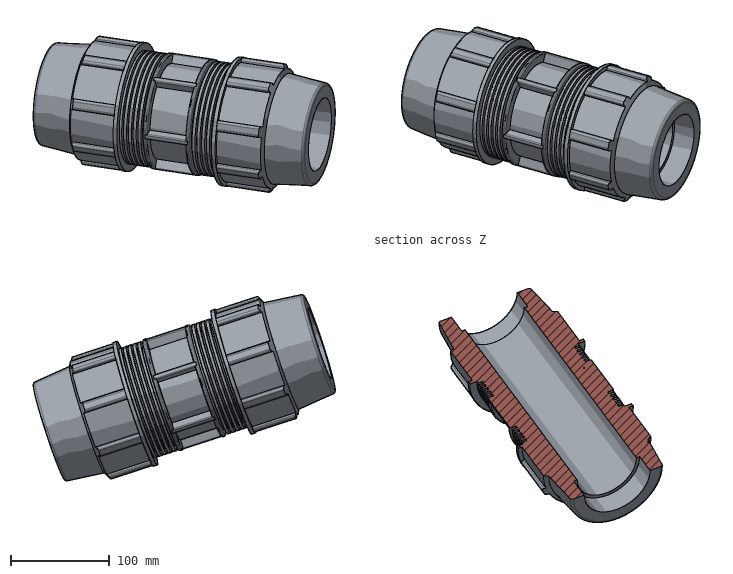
import cadquery as cq
length = 289.0
half_length = length / 2

bore_radius = 33.8
socket_radius = 37.5
socket_depth = 22.5

nose_fillet = 3.0
nose_end_radius = 52.5
nose_base_radius = 57.0
nose_depth = 40.7

grip_radius = 61.5
shoulder_slope = 1.8
flange_radius = 132.0 / 2
nut_rib_radius = 65.5
flange_depth = 90.2
flange_width = 4.0
flange_end_depth = flange_depth + flange_width
nut_rib_count = 8
nut_rib_width = 11.0
nut_rib_fillet = 2.45

thread_root_radius = 105.5 / 2
thread_crest_radius = 116.5 / 2
thread_count = 5
thread_crest_width = 3.2
first_crest_end_depth = 96.8
last_crest_end_depth = 117.3
thread_pitch = (last_crest_end_depth - first_crest_end_depth) / (thread_count - 1)

rim_radius = 118.8 / 2
rim_outer_x = 24.9
rim_inner_x = 20.5
rim_fillet = 1.5
body_radius = 49.0
body_rib_count = 6
body_rib_width = 5.5
body_rib_fillet = 1.2

overlap = 1.5


def ring(outer_radius, x_start, x_end):
    """Solid disc about the X axis."""
    return cq.Workplane("YZ", origin=(x_start, 0, 0)).circle(outer_radius).extrude(x_end - x_start)


def revolve_about_x(points):
    """Revolve a closed (x, radius) outline about the X axis."""
    return cq.Workplane("XY").polyline(points).close().revolve(360, (0, 0, 0), (1, 0, 0))


def rib(inner_radius, outer_radius, width, fillet, x_start, x_end):
    """Bar along X standing on the +Z side, with its two outer edges rounded."""
    return (
        cq.Workplane("XY", origin=(x_start, 0, inner_radius))
        .rect(x_end - x_start, width, centered=(False, True))
        .extrude(outer_radius - inner_radius)
        .edges("|X and >Z")
        .fillet(fillet)
    )


def around_x(piece, count, first_angle):
    """Copies of a piece spread evenly about the X axis."""
    copies = cq.Workplane("XY")
    for i in range(count):
        angle = first_angle + i * 360 / count
        copies = copies.add(piece.rotate((0, 0, 0), (1, 0, 0), angle))
    return copies.combine()


def nut():
    """Nose, grip and flange of the nut at the -X end."""
    nose_x = -half_length + nose_depth
    nose = revolve_about_x([
        (-half_length, 0),
        (-half_length, nose_end_radius),
        (nose_x, nose_base_radius),
        (nose_x, 0),
    ]).faces("<X").edges().fillet(nose_fillet)

    flange_x = -half_length + flange_depth
    bar = rib(
        grip_radius - overlap, nut_rib_radius, nut_rib_width, nut_rib_fillet,
        nose_x, flange_x + overlap,
    )
    ribbed = ring(grip_radius, nose_x, flange_x).union(around_x(bar, nut_rib_count, 180 / nut_rib_count))

    bevel_radius = flange_radius + overlap
    bevel_depth = nose_depth + (bevel_radius - nose_base_radius) / shoulder_slope
    shoulder = revolve_about_x([
        (nose_x, 0),
        (nose_x, nose_base_radius),
        (-half_length + bevel_depth, bevel_radius),
        (flange_x + flange_width, bevel_radius),
        (flange_x + flange_width, 0),
    ])
    grip = ribbed.intersect(shoulder)
    flange = ring(flange_radius, flange_x, flange_x + flange_width)
    return nose.union(grip).union(flange)


def thread():
    """Core and crests between the -X flange and the -X rim."""
    core_x = -half_length + flange_end_depth
    threaded = ring(thread_root_radius, core_x - overlap, -rim_outer_x + overlap)
    for i in range(thread_count):
        crest_end = -half_length + first_crest_end_depth + i * thread_pitch
        threaded = threaded.union(ring(thread_crest_radius, crest_end - thread_crest_width, crest_end))
    return threaded


def rim():
    """Rounded collar at the -X side of the centre body."""
    return ring(rim_radius, -rim_outer_x, -rim_inner_x).edges().fillet(rim_fillet)


def centre_body():
    """Plain tube between the rims, with its lengthwise ribs."""
    end_x = (rim_outer_x + rim_inner_x) / 2
    tube = ring(body_radius, -end_x, end_x)
    bar = rib(
        body_radius - overlap, rim_radius, body_rib_width, body_rib_fillet,
        -end_x, end_x,
    )
    return tube.union(around_x(bar, body_rib_count, 180 / body_rib_count))


def bore():
    """Through bore with a wider socket at each end."""
    socket = ring(socket_radius, -half_length, -half_length + socket_depth)
    return ring(bore_radius, -half_length, half_length).union(socket).union(socket.mirror("YZ"))


left_end = nut().union(thread()).union(rim())
right_end = left_end.rotate((0, 0, 0), (0, 1, 0), 180)
result = centre_body().union(left_end).union(right_end).cut(bore())